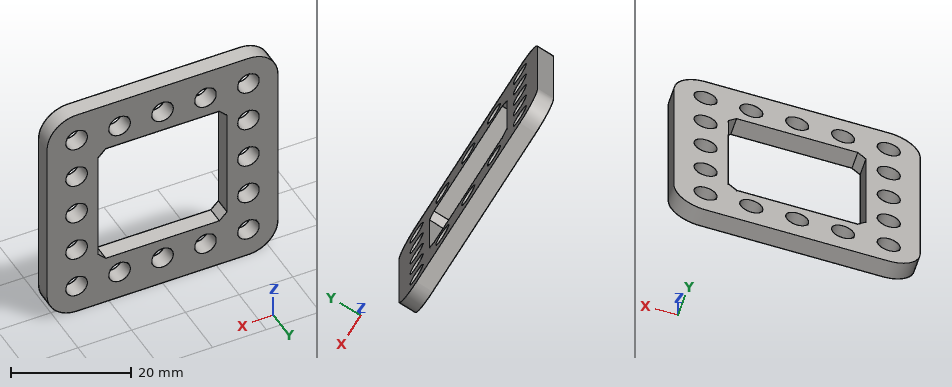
import cadquery as cq

plate_side = 43.0
plate_thickness = 3.2
hole_pitch = 8.0
holes_per_side = 5
hole_diameter = 4.0
window_side = 24.0
window_chamfer = 1.4

hole_reach = hole_pitch * (holes_per_side - 1) / 2
corner_radius = plate_side / 2 - hole_reach


def square_block(side):
    """Square block standing in the XZ plane, centred on the origin."""
    return cq.Workplane("XY").box(side, plate_thickness, side)


def ring_positions():
    """Hole centres along the border of a square grid, as (x, z) pairs."""
    steps = [i * hole_pitch - hole_reach for i in range(holes_per_side)]
    ends = (steps[0], steps[-1])
    return [(x, z) for x in steps for z in steps if x in ends or z in ends]


plate = square_block(plate_side).edges("|Y").fillet(corner_radius)

window = square_block(window_side).edges("|Y").chamfer(window_chamfer)

holes = (
    cq.Workplane("XZ")
    .pushPoints(ring_positions())
    .circle(hole_diameter / 2)
    .extrude(plate_thickness, both=True)
)

result = plate.cut(window).cut(holes)